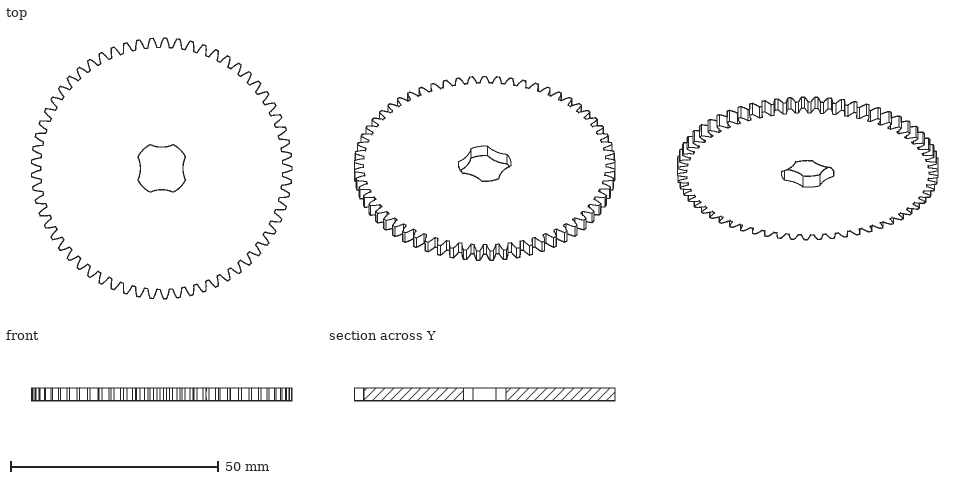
import cadquery as cq
import math

module = 1.0
tooth_count = 61
pressure_angle = math.radians(20)
thickness = 3.12
dedendum_factor = 1.25

pitch_radius = module * tooth_count / 2
tip_radius = pitch_radius + module
root_radius = pitch_radius - dedendum_factor * module
base_radius = pitch_radius * math.cos(pressure_angle)
tooth_pitch = 2 * math.pi / tooth_count
flank_point_count = 5

bore_radius = 6.35
lobe_inner_radius = 5.1
lobe_half_angle = math.radians(26)
lobe_count = 4


def polar(radius, angle):
    return (radius * math.cos(angle), radius * math.sin(angle))


def involute_angle(radius):
    """Angle swept by the involute from the base circle out to the given radius."""
    unwind = math.acos(base_radius / radius)
    return math.tan(unwind) - unwind


def half_tooth_angle(radius):
    """Half of the angle a tooth spans at the given radius."""
    return tooth_pitch / 4 + involute_angle(pitch_radius) - involute_angle(radius)


def flank_points(tooth_angle, side):
    """Points of one involute flank from root to tip; side is -1 or +1."""
    step = (tip_radius - root_radius) / (flank_point_count - 1)
    radii = [root_radius + i * step for i in range(flank_point_count)]
    return [polar(r, tooth_angle + side * half_tooth_angle(r)) for r in radii]


def gear_blank():
    """Toothed disc with one tooth centred on the +X axis."""
    outline = cq.Workplane("XY").moveTo(*flank_points(0, -1)[0])
    for i in range(tooth_count):
        angle = i * tooth_pitch
        rising = flank_points(angle, -1)
        falling = flank_points(angle, 1)[::-1]
        next_root = flank_points(angle + tooth_pitch, -1)[0]
        outline = outline.spline(rising[1:], includeCurrent=True)
        outline = outline.threePointArc(polar(tip_radius, angle), falling[0])
        outline = outline.spline(falling[1:], includeCurrent=True)
        outline = outline.threePointArc(polar(root_radius, angle + tooth_pitch / 2), next_root)
    return outline.close().extrude(thickness)


def lobed_bore():
    """Cutter for the central through opening."""
    lobe_pitch = 2 * math.pi / lobe_count
    outline = cq.Workplane("XY").moveTo(*polar(bore_radius, -lobe_half_angle))
    for i in range(lobe_count):
        angle = i * lobe_pitch
        lobe_end = polar(bore_radius, angle + lobe_half_angle)
        next_lobe_start = polar(bore_radius, angle + lobe_pitch - lobe_half_angle)
        outline = outline.threePointArc(polar(lobe_inner_radius, angle), lobe_end)
        outline = outline.threePointArc(polar(bore_radius, angle + lobe_pitch / 2), next_lobe_start)
    return outline.close().extrude(thickness)


result = gear_blank().cut(lobed_bore())